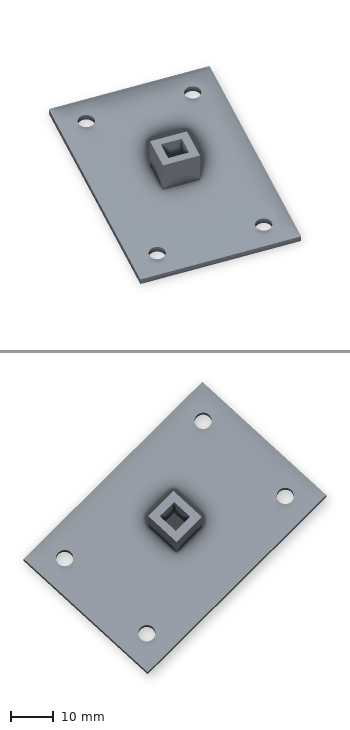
import cadquery as cq

plate_length = 60.0
plate_width = 40.0
plate_thickness = 1.5

hole_diameter = 4.0
hole_edge_margin = 6.75
hole_spacing_x = plate_length - 2 * hole_edge_margin
hole_spacing_y = plate_width - 2 * hole_edge_margin

socket_height = 8.0
socket_length = 8.5
socket_width = 9.2
cavity_length = 4.8
cavity_width = 5.2


def make_plate():
    """Flat plate with four through holes."""
    plate = cq.Workplane("XY").box(
        plate_length, plate_width, plate_thickness, centered=(True, True, False)
    )
    return (
        plate.faces(">Z")
        .workplane()
        .rect(hole_spacing_x, hole_spacing_y, forConstruction=True)
        .vertices()
        .hole(hole_diameter)
    )


def make_socket():
    """Rectangular tube, open at the top and closed below by the plate."""
    return (
        cq.Workplane("XY")
        .workplane(offset=plate_thickness)
        .rect(socket_length, socket_width)
        .rect(cavity_length, cavity_width)
        .extrude(socket_height)
    )


result = make_plate().union(make_socket())